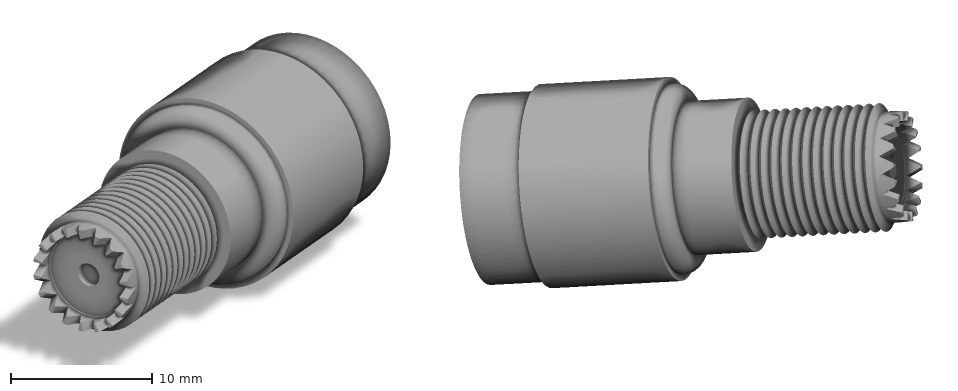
import cadquery as cq
import math


total_length = 31.1
tip_length = 1.45
thread_length = 9.98
collar_length = 4.35
bead_length = 1.27
rear_length = 4.5

thread_root_radius = 3.95
thread_crest_radius = 4.57
collar_radius = 5.47
bead_radius = 6.78
bead_round = 1.03
body_radius = 7.25
rear_radius = 6.78

ridge_count = 13
ridge_pitch = thread_length / ridge_count

rim_bore_radius = 3.25
rim_bore_depth = 1.0
socket_radius = 3.1
socket_depth = 1.12
contact_hole_radius = 0.87
contact_hole_depth = 0.53
tooth_count = 18
notch_depth = 1.0
notch_width = 1.03

thread_start = tip_length
collar_start = thread_start + thread_length
bead_start = collar_start + collar_length
body_start = bead_start + bead_length
rear_start = total_length - rear_length


def turned_body():
    """Revolve the outer half profile, drawn as (radius, Y), about the Y axis."""
    profile = cq.Workplane("XY").lineTo(thread_root_radius, 0)
    profile = profile.lineTo(thread_root_radius, thread_start)
    for ridge in range(ridge_count):
        ridge_start = thread_start + ridge * ridge_pitch
        profile = profile.lineTo(thread_crest_radius, ridge_start + ridge_pitch / 2)
        profile = profile.lineTo(thread_root_radius, ridge_start + ridge_pitch)

    round_mid = bead_round * math.sqrt(0.5)
    round_centre_radius = bead_radius - bead_round
    round_centre_y = bead_start + bead_round
    profile = (
        profile.lineTo(collar_radius, collar_start)
        .lineTo(collar_radius, bead_start)
        .lineTo(round_centre_radius, bead_start)
        .threePointArc(
            (round_centre_radius + round_mid, round_centre_y - round_mid),
            (bead_radius, round_centre_y),
        )
        .lineTo(bead_radius, body_start)
    )

    profile = (
        profile.lineTo(body_radius, body_start)
        .lineTo(body_radius, rear_start)
        .lineTo(rear_radius, rear_start)
        .lineTo(rear_radius, total_length)
        .lineTo(0, total_length)
        .close()
    )
    return profile.revolve(360, (0, 0, 0), (0, 1, 0))


def front_bore(radius, depth):
    """Round cutter running from the front end to the given depth."""
    return cq.Workplane("XZ").circle(radius).extrude(-depth)


def tooth_notch(angle):
    """V-shaped cutter through the rim, turned about Y to the given angle."""
    notch = (
        cq.Workplane("XY")
        .moveTo(-notch_width / 2, 0)
        .lineTo(notch_width / 2, 0)
        .lineTo(0, notch_depth)
        .close()
        .extrude(thread_crest_radius)
    )
    return notch.rotate((0, 0, 0), (0, 1, 0), angle)


result = turned_body()
result = result.cut(front_bore(rim_bore_radius, rim_bore_depth))
result = result.cut(front_bore(socket_radius, socket_depth))
result = result.cut(front_bore(contact_hole_radius, socket_depth + contact_hole_depth))

tooth_pitch = 360 / tooth_count
for tooth in range(tooth_count):
    result = result.cut(tooth_notch((tooth + 0.5) * tooth_pitch))